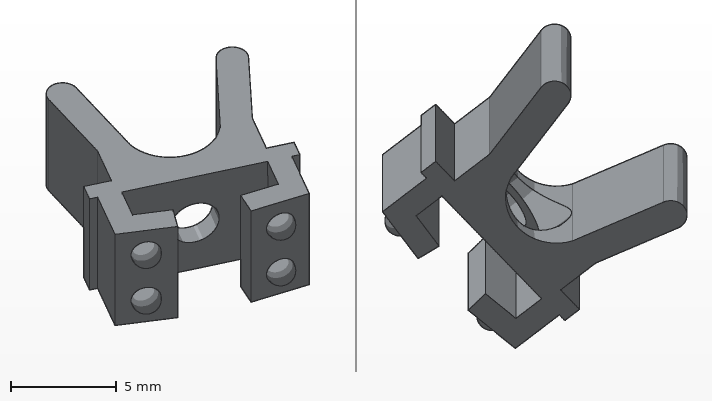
import cadquery as cq
import math

LENGTH = 11.86
HEIGHT = 5.8

TIP_RADIUS = 0.77
TIP_Y = 4.2
ARM_ANGLE = math.radians(15)
BODY_HALF_WIDTH = 3.83
SADDLE_X = 6.67
SADDLE_END_X = 5.17

FLANGE_FRONT_X = 7.3
FLANGE_BACK_X = 8.22
FLANGE_HALF_WIDTH = 10.4 / 2
BACK_TAPER = 0.07

HOOK_OUTER_Y = 4.8
HOOK_THICKNESS = 1.2
HOOK_LENGTH = 3.01
HOOK_ANGLE = math.radians(6.8)

HOLE_DIAMETER = 2.4
COUNTERBORE_DIAMETER = 4.4
COUNTERBORE_FLOOR_X = 7.19
BUMP_RADIUS = 0.72
BUMP_Y = 3.32
BUMP_Z = HEIGHT / 4
BUMP_STEM = HOOK_THICKNESS / 2

HOOK_CORNER_X = LENGTH - BUMP_RADIUS - (HOOK_OUTER_Y - BUMP_Y) * math.tan(HOOK_ANGLE)


def extrude_full_height(sketch):
    return sketch.extrude(HEIGHT).translate((0, 0, -HEIGHT / 2))


def make_body():
    """Fork, saddle and flange as one mirrored outline."""
    sine, cosine = math.sin(ARM_ANGLE), math.cos(ARM_ANGLE)
    slope = math.tan(ARM_ANGLE)
    outer_x = TIP_RADIUS + TIP_RADIUS * sine
    outer_y = TIP_Y + TIP_RADIUS * cosine
    inner_x = TIP_RADIUS - TIP_RADIUS * sine
    inner_y = TIP_Y - TIP_RADIUS * cosine
    bend_x = outer_x + (outer_y - BODY_HALF_WIDTH) / slope
    saddle_y = inner_y - (SADDLE_END_X - inner_x) * slope
    tip_middle = (TIP_RADIUS - TIP_RADIUS * cosine, TIP_Y - TIP_RADIUS * sine)
    mirrored_tip_middle = (tip_middle[0], -tip_middle[1])
    outline = (
        cq.Workplane("XY")
        .moveTo(SADDLE_END_X, saddle_y)
        .lineTo(inner_x, inner_y)
        .threePointArc(tip_middle, (outer_x, outer_y))
        .lineTo(bend_x, BODY_HALF_WIDTH)
        .lineTo(FLANGE_FRONT_X, BODY_HALF_WIDTH)
        .lineTo(FLANGE_FRONT_X, FLANGE_HALF_WIDTH)
        .lineTo(FLANGE_BACK_X, FLANGE_HALF_WIDTH)
        .lineTo(FLANGE_BACK_X, -FLANGE_HALF_WIDTH)
        .lineTo(FLANGE_FRONT_X, -FLANGE_HALF_WIDTH)
        .lineTo(FLANGE_FRONT_X, -BODY_HALF_WIDTH)
        .lineTo(bend_x, -BODY_HALF_WIDTH)
        .lineTo(outer_x, -outer_y)
        .threePointArc(mirrored_tip_middle, (inner_x, -inner_y))
        .lineTo(SADDLE_END_X, -saddle_y)
        .threePointArc((SADDLE_X, 0), (SADDLE_END_X, saddle_y))
        .close()
    )
    return extrude_full_height(outline)


def make_back_taper():
    """Thin wedge, its ends buried in the hooks, that makes the back wall lean outward at the bottom."""
    half_width = HOOK_OUTER_Y - HOOK_THICKNESS / 2
    return (
        cq.Workplane("XZ")
        .moveTo(FLANGE_BACK_X, HEIGHT / 2)
        .lineTo(FLANGE_BACK_X, -HEIGHT / 2)
        .lineTo(FLANGE_BACK_X + BACK_TAPER, -HEIGHT / 2)
        .close()
        .extrude(half_width, both=True)
    )


def make_bump():
    """Half ball on a short buried stem, square to the hook finger."""
    diagonal = BUMP_RADIUS * math.sqrt(0.5)
    profile = (
        cq.Workplane("XY")
        .moveTo(-BUMP_STEM, 0)
        .lineTo(-BUMP_STEM, BUMP_RADIUS)
        .lineTo(0, BUMP_RADIUS)
        .threePointArc((diagonal, diagonal), (BUMP_RADIUS, 0))
        .close()
    )
    bump = profile.revolve(360, (0, 0, 0), (1, 0, 0))
    return bump.rotate((0, 0, 0), (0, 0, 1), math.degrees(HOOK_ANGLE))


def make_hook():
    """Hook on the +Y side, its finger leaning away from the flange."""
    sine, cosine = math.sin(HOOK_ANGLE), math.cos(HOOK_ANGLE)
    hook_root_x = (FLANGE_FRONT_X + FLANGE_BACK_X) / 2
    inner_y = HOOK_OUTER_Y - HOOK_THICKNESS
    tip_x = HOOK_CORNER_X + HOOK_LENGTH * sine
    tip_y = HOOK_OUTER_Y - HOOK_LENGTH * cosine
    inner_tip_x = tip_x - HOOK_THICKNESS * cosine
    inner_tip_y = tip_y - HOOK_THICKNESS * sine
    inner_corner_x = inner_tip_x - (inner_y - inner_tip_y) * math.tan(HOOK_ANGLE)
    outline = (
        cq.Workplane("XY")
        .moveTo(hook_root_x, HOOK_OUTER_Y)
        .lineTo(HOOK_CORNER_X, HOOK_OUTER_Y)
        .lineTo(tip_x, tip_y)
        .lineTo(inner_tip_x, inner_tip_y)
        .lineTo(inner_corner_x, inner_y)
        .lineTo(hook_root_x, inner_y)
        .close()
    )
    hook = extrude_full_height(outline)
    bump = make_bump()
    for z in (-BUMP_Z, BUMP_Z):
        hook = hook.union(bump.translate((LENGTH - BUMP_RADIUS, BUMP_Y, z)))
    return hook


def make_bore(diameter, start_x, end_x):
    bore = cq.Workplane("YZ").circle(diameter / 2).extrude(end_x - start_x)
    return bore.translate((start_x, 0, 0))


hook = make_hook()
result = make_body().union(make_back_taper()).union(hook).union(hook.mirror("XZ"))
result = result.cut(make_bore(COUNTERBORE_DIAMETER, 0, COUNTERBORE_FLOOR_X))
result = result.cut(make_bore(HOLE_DIAMETER, 0, LENGTH))